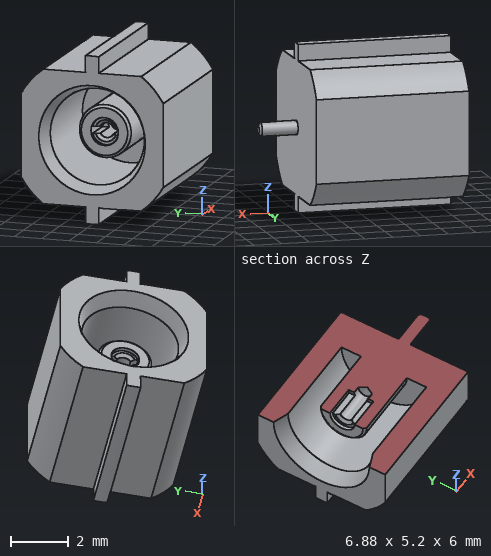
import cadquery as cq

body_length = 5.505
body_diameter = 6.0
body_width = 5.2
body_height = 4.8
rib_width = 0.495

mouth_diameter = 3.895
socket_diameter = 3.44
mouth_depth = 0.59
socket_depth = 4.13

boss_diameter = 1.885
boss_chamfer = 0.095
boss_face_x = 1.375

contact_diameter = 0.99
contact_recess = 0.14
contact_bore_diameter = 0.54
contact_countersink_diameter = 0.77
contact_bore_depth = 1.375
contact_tip_depth = 0.16
contact_slot_width = 0.255
contact_slot_depth = 1.1

overall_length = 6.88
pin_diameter = 0.495
pin_chamfer = 0.09


def cylinder(start_x, end_x, diameter):
    """Solid cylinder on the X axis."""
    return cq.Workplane("YZ", origin=(start_x, 0, 0)).circle(diameter / 2).extrude(end_x - start_x)


def cone(start_x, start_diameter, end_x, end_diameter=0.0):
    """Solid cone or tapered plug on the X axis, narrowing toward +X."""
    points = [(start_x, 0), (start_x, start_diameter / 2), (end_x, end_diameter / 2)]
    if end_diameter > 0:
        points.append((end_x, 0))
    return cq.Workplane("XY").polyline(points).close().revolve(360, (0, 0, 0), (1, 0, 0))


def make_body():
    profile = cq.Workplane("YZ")
    block = profile.rect(body_width, body_height).extrude(body_length)
    ribs = profile.rect(rib_width, body_diameter).extrude(body_length)
    return block.union(ribs).intersect(cylinder(0, body_length, body_diameter))


def make_socket():
    mouth = cone(0, mouth_diameter, mouth_depth, socket_diameter)
    return mouth.union(cylinder(0, socket_depth, socket_diameter))


def make_boss():
    boss = cylinder(boss_face_x, socket_depth, boss_diameter)
    return boss.faces("<X").chamfer(boss_chamfer)


def make_contact_cavity():
    contact_face_x = boss_face_x + contact_recess
    bore_end_x = contact_face_x + contact_bore_depth
    countersink_depth = (contact_countersink_diameter - contact_bore_diameter) / 2
    recess = cylinder(boss_face_x, contact_face_x, contact_diameter)
    countersink = cone(
        contact_face_x,
        contact_countersink_diameter,
        contact_face_x + countersink_depth,
        contact_bore_diameter,
    )
    bore = cylinder(contact_face_x, bore_end_x, contact_bore_diameter)
    bore_tip = cone(bore_end_x, contact_bore_diameter, bore_end_x + contact_tip_depth)
    slot = (
        cq.Workplane("YZ", origin=(contact_face_x, 0, 0))
        .rect(contact_diameter, contact_slot_width)
        .extrude(contact_slot_depth)
        .intersect(cylinder(contact_face_x, bore_end_x, contact_diameter))
    )
    return recess.union(countersink).union(bore).union(bore_tip).union(slot)


def make_pin():
    pin = cylinder(socket_depth, overall_length, pin_diameter)
    return pin.faces(">X").chamfer(pin_chamfer)


result = (
    make_body()
    .cut(make_socket())
    .union(make_boss())
    .cut(make_contact_cavity())
    .union(make_pin())
)